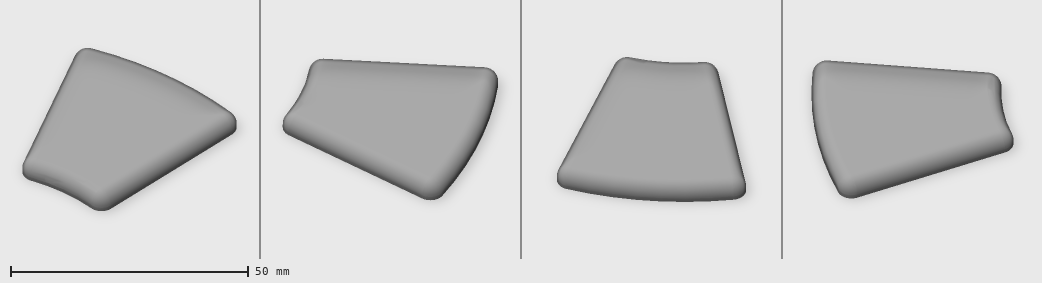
import cadquery as cq
import math

outer_radius = 80.0
inner_radius = 40.0
sweep_angle = 30
thickness = 4.0
edge_radius = 3.0


def at(radius, angle):
    """Point at the given radius, turned by angle degrees from +Y toward -X."""
    turn = math.radians(angle)
    return (-radius * math.sin(turn), radius * math.cos(turn))


segment = (
    cq.Workplane("XY")
    .moveTo(*at(inner_radius, 0))
    .lineTo(*at(outer_radius, 0))
    .threePointArc(at(outer_radius, sweep_angle / 2), at(outer_radius, sweep_angle))
    .lineTo(*at(inner_radius, sweep_angle))
    .threePointArc(at(inner_radius, sweep_angle / 2), at(inner_radius, 0))
    .close()
    .extrude(thickness)
)

result = segment.edges("|Z or >Z").fillet(edge_radius)